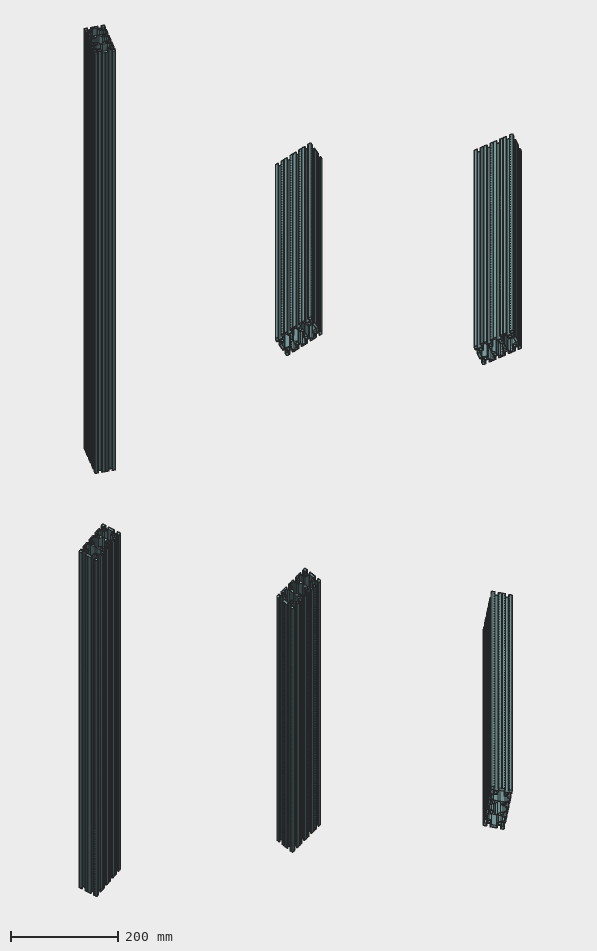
import cadquery as cq

LENGTH = 1000.0
WIDTH = 80.0
DEPTH = 40.0
HALF_WIDTH = WIDTH / 2
HALF_DEPTH = DEPTH / 2
CORNER_RADIUS = 1.5

PITCH = 20.0
COLUMNS = 4
ROWS = 2
BORE_DIAMETER = 5.0

MOUTH_WIDTH = 6.0
MOUTH_CHAMFER = 0.3
LIP = 1.8
CAVITY_WIDTH = 9.0
CAVITY_SIDE_DEPTH = 5.4
FLOOR_WIDTH = 4.0
SLOT_DEPTH = 6.0

GROOVE_WIDTH = 1.6
GROOVE_DEPTH = 0.4

FACE_WALL = 2.5
CHAMBER_TOP = HALF_DEPTH - FACE_WALL
SHOULDER_Y = 11.0
CENTER_TOP_HALF_WIDTH = 3.0
SIDE_TOP_HALF_WIDTH = 2.0
SIDE_HALF_WIDTH = 5.8
SIDE_TIP_HALF_HEIGHT = 4.5
SIDE_TIP_X = 35.0
SIDE_WAIST_Y = 7.0
CENTER_HALF_WIDTH = 6.5
CENTER_WAIST_Y = 7.0
CENTER_TIP_X = 13.0
CENTER_TIP_HALF_HEIGHT = 2.0


def prism(points):
    return cq.Workplane("XY").workplane(offset=-LENGTH / 2).polyline(points).close().extrude(LENGTH)


def mirror_x(points):
    """Close a half outline with its mirror image across the Y axis."""
    return points + [(-x, y) for x, y in reversed(points)]


def mirror_y(points):
    """Close a half outline with its mirror image across the X axis."""
    return points + [(x, -y) for x, y in reversed(points)]


def slot_cutter():
    """T-slot centred on X = 0, sunk downwards from Y = 0."""
    mouth = MOUTH_WIDTH / 2
    cavity = CAVITY_WIDTH / 2
    return prism(mirror_x([
        (mouth + MOUTH_CHAMFER, 0),
        (mouth, -MOUTH_CHAMFER),
        (mouth, -LIP),
        (cavity, -LIP),
        (cavity, -CAVITY_SIDE_DEPTH),
        (FLOOR_WIDTH / 2, -SLOT_DEPTH),
    ]))


def groove_cutter():
    """V-groove centred on X = 0, sunk downwards from Y = 0."""
    half = GROOVE_WIDTH / 2
    return prism([(-half, 0), (0, -GROOVE_DEPTH), (half, 0)])


def centred_row(count):
    """Positions of `count` features at the cell pitch, centred on zero."""
    return [(i - (count - 1) / 2) * PITCH for i in range(count)]


def cut_face(body, cells, distance, angle):
    """Cut slots at the cells and grooves between them on the face turned by `angle` from +Y."""
    cutters = [(slot_cutter(), x) for x in centred_row(cells)]
    cutters += [(groove_cutter(), x) for x in centred_row(cells - 1)]
    for cutter, x in cutters:
        placed = cutter.translate((x, distance, 0)).rotate((0, 0, 0), (0, 0, 1), angle)
        body = body.cut(placed)
    return body


def center_chamber():
    """Chamber on the axis that widens at mid-height and points towards both side chambers."""
    upper_right = [
        (CENTER_TOP_HALF_WIDTH, CHAMBER_TOP),
        (CENTER_HALF_WIDTH, SHOULDER_Y),
        (CENTER_HALF_WIDTH, CENTER_WAIST_Y),
        (CENTER_TIP_X, CENTER_TIP_HALF_HEIGHT),
    ]
    return prism(mirror_x(mirror_y(upper_right)))


def side_chamber():
    """Chamber between the outer and inner cells, reaching out between the end slots."""
    return prism(mirror_y([
        (PITCH - SIDE_HALF_WIDTH, SHOULDER_Y),
        (PITCH - SIDE_TOP_HALF_WIDTH, CHAMBER_TOP),
        (PITCH + SIDE_TOP_HALF_WIDTH, CHAMBER_TOP),
        (PITCH + SIDE_HALF_WIDTH, SHOULDER_Y),
        (PITCH + SIDE_HALF_WIDTH, SIDE_WAIST_Y),
        (SIDE_TIP_X, SIDE_TIP_HALF_HEIGHT),
    ]))


body = cq.Workplane("XY").box(WIDTH, DEPTH, LENGTH).edges("|Z").fillet(CORNER_RADIUS)

for angle in (0, 180):
    body = cut_face(body, COLUMNS, HALF_DEPTH, angle)
for angle in (90, -90):
    body = cut_face(body, ROWS, HALF_WIDTH, angle)

body = body.cut(center_chamber())
body = body.cut(side_chamber())
body = body.cut(side_chamber().mirror("YZ"))

bores = (
    cq.Workplane("XY").workplane(offset=-LENGTH / 2)
    .rarray(PITCH, PITCH, COLUMNS, ROWS)
    .circle(BORE_DIAMETER / 2)
    .extrude(LENGTH)
)
result = body.cut(bores)